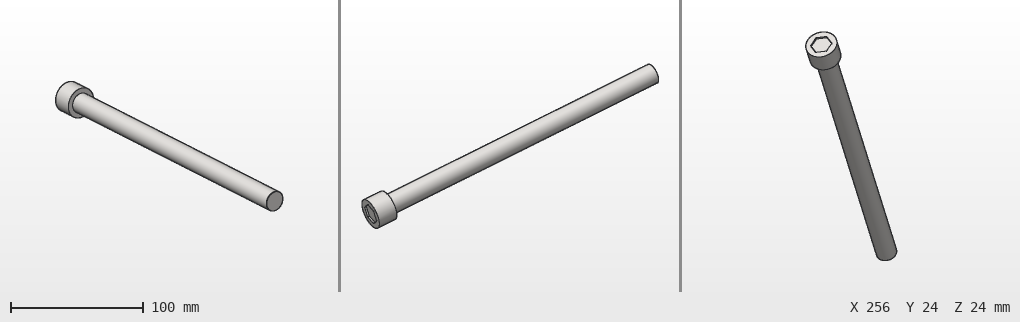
import cadquery as cq
import math

total_length = 256.0
shank_diameter = 16.0
head_diameter = 24.0
head_height = shank_diameter
socket_across_flats = 14.0
socket_depth = 1.5
tip_chamfer = 0.3

head_face_x = -total_length / 2


def cylinder_along_x(start_x, diameter, length):
    return cq.Workplane("YZ", origin=(start_x, 0, 0)).circle(diameter / 2).extrude(length)


def hex_socket():
    """Hexagonal prism with two corners on the Y axis and flats facing +Z and -Z."""
    across_corners = socket_across_flats / math.cos(math.pi / 6)
    return (
        cq.Workplane("YZ", origin=(head_face_x, 0, 0))
        .polygon(6, across_corners)
        .extrude(socket_depth)
    )


head = cylinder_along_x(head_face_x, head_diameter, head_height)
shank = cylinder_along_x(head_face_x, shank_diameter, total_length)
shank = shank.faces(">X").chamfer(tip_chamfer)

result = head.union(shank).cut(hex_socket())